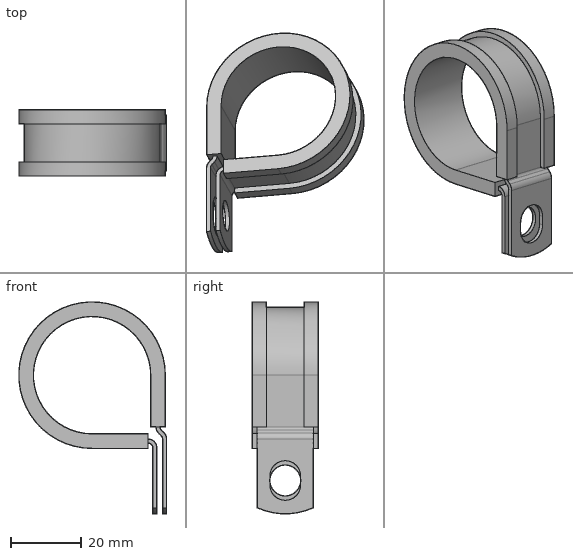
import cadquery as cq
import math


cushion_outer_radius = 20.93
cushion_thickness = 4.23
cushion_inner_radius = cushion_outer_radius - cushion_thickness
cushion_width = 18.92
lower_leg_end_x = 16.0
side_leg_end_z = -14.75

channel_depth = 1.52
channel_width = 10.8

strap_width = 16.0
strap_thickness = 1.2
strap_outer_radius = cushion_outer_radius - channel_depth
strap_inner_radius = strap_outer_radius - strap_thickness
bend_inner_radius = 1.3
bend_outer_radius = bend_inner_radius + strap_thickness

tab_end_z = -39.6
outer_tab_face_x = 21.3
tab_tip_height = 1.75
hole_diameter = 8.75
slot_length = 11.3
hole_to_tip = 9.55

joggle_angle = math.radians(45)


def loop_profile(outer_radius, inner_radius):
    """P-shaped band: three quarters of a ring plus a horizontal and a vertical straight leg."""
    outer_diagonal = outer_radius * math.sqrt(0.5)
    inner_diagonal = inner_radius * math.sqrt(0.5)
    return (
        cq.Workplane("XZ")
        .moveTo(outer_radius, side_leg_end_z)
        .lineTo(outer_radius, 0)
        .threePointArc((-outer_diagonal, outer_diagonal), (0, -outer_radius))
        .lineTo(lower_leg_end_x, -outer_radius)
        .lineTo(lower_leg_end_x, -inner_radius)
        .lineTo(0, -inner_radius)
        .threePointArc((-inner_diagonal, inner_diagonal), (inner_radius, 0))
        .lineTo(inner_radius, side_leg_end_z)
        .close()
    )


def cushioned_loop():
    """Cushion with the strap embedded, relieved down to the strap between the two lips."""
    cushion = loop_profile(cushion_outer_radius, cushion_inner_radius).extrude(cushion_width / 2, both=True)
    channel = loop_profile(cushion_outer_radius, strap_outer_radius).extrude(channel_width / 2, both=True)
    return cushion.cut(channel)


def inner_tab():
    """Strap leaving the horizontal leg and bending down a quarter turn."""
    center_x = lower_leg_end_x
    center_z = -strap_inner_radius - bend_outer_radius
    outer_diagonal = bend_outer_radius * math.sqrt(0.5)
    inner_diagonal = bend_inner_radius * math.sqrt(0.5)
    return (
        cq.Workplane("XZ")
        .moveTo(center_x, center_z + bend_outer_radius)
        .threePointArc(
            (center_x + outer_diagonal, center_z + outer_diagonal),
            (center_x + bend_outer_radius, center_z),
        )
        .lineTo(center_x + bend_outer_radius, tab_end_z)
        .lineTo(center_x + bend_inner_radius, tab_end_z)
        .lineTo(center_x + bend_inner_radius, center_z)
        .threePointArc(
            (center_x + inner_diagonal, center_z + inner_diagonal),
            (center_x, center_z + bend_inner_radius),
        )
        .close()
        .extrude(strap_width / 2, both=True)
    )


def outer_tab():
    """Strap leaving the vertical leg, stepping outward through two equal bends, then running down."""
    step_x = outer_tab_face_x - strap_outer_radius
    bends_radius_sum = bend_inner_radius + bend_outer_radius
    slope_length = (step_x - bends_radius_sum * (1 - math.cos(joggle_angle))) / math.sin(joggle_angle)
    step_z = bends_radius_sum * math.sin(joggle_angle) + slope_length * math.cos(joggle_angle)

    upper_center = (strap_outer_radius + bend_inner_radius, side_leg_end_z)
    lower_center = (outer_tab_face_x - bend_outer_radius, side_leg_end_z - step_z)

    def upper_point(radius, angle):
        return (
            upper_center[0] - radius * math.cos(angle),
            upper_center[1] - radius * math.sin(angle),
        )

    def lower_point(radius, angle):
        return (
            lower_center[0] + radius * math.cos(angle),
            lower_center[1] + radius * math.sin(angle),
        )

    half_angle = joggle_angle / 2
    return (
        cq.Workplane("XZ")
        .moveTo(*upper_point(bend_inner_radius, 0))
        .threePointArc(
            upper_point(bend_inner_radius, half_angle),
            upper_point(bend_inner_radius, joggle_angle),
        )
        .lineTo(*lower_point(bend_outer_radius, joggle_angle))
        .threePointArc(
            lower_point(bend_outer_radius, half_angle),
            lower_point(bend_outer_radius, 0),
        )
        .lineTo(outer_tab_face_x, tab_end_z)
        .lineTo(outer_tab_face_x - strap_thickness, tab_end_z)
        .lineTo(*lower_point(bend_inner_radius, 0))
        .threePointArc(
            lower_point(bend_inner_radius, half_angle),
            lower_point(bend_inner_radius, joggle_angle),
        )
        .lineTo(*upper_point(bend_outer_radius, joggle_angle))
        .threePointArc(
            upper_point(bend_outer_radius, half_angle),
            upper_point(bend_outer_radius, 0),
        )
        .close()
        .extrude(strap_width / 2, both=True)
    )


def tab_outline():
    """Prism along X that rounds the tab tips."""
    half_width = strap_width / 2
    corner_z = tab_end_z + tab_tip_height
    return (
        cq.Workplane("YZ")
        .moveTo(-half_width, side_leg_end_z)
        .lineTo(-half_width, corner_z)
        .threePointArc((0, tab_end_z), (half_width, corner_z))
        .lineTo(half_width, side_leg_end_z)
        .close()
        .extrude(outer_tab_face_x)
    )


def bolt_plane():
    """Plane facing +X, centred on the bolt axis."""
    return cq.Workplane("YZ", origin=(0, 0, tab_end_z + hole_to_tip))


bolt_hole = bolt_plane().circle(hole_diameter / 2).extrude(outer_tab_face_x)
bolt_slot = bolt_plane().slot2D(slot_length, hole_diameter, 90).extrude(outer_tab_face_x)

inner = inner_tab().intersect(tab_outline()).cut(bolt_hole)
outer = outer_tab().intersect(tab_outline()).cut(bolt_slot)
result = cushioned_loop().union(inner).union(outer)